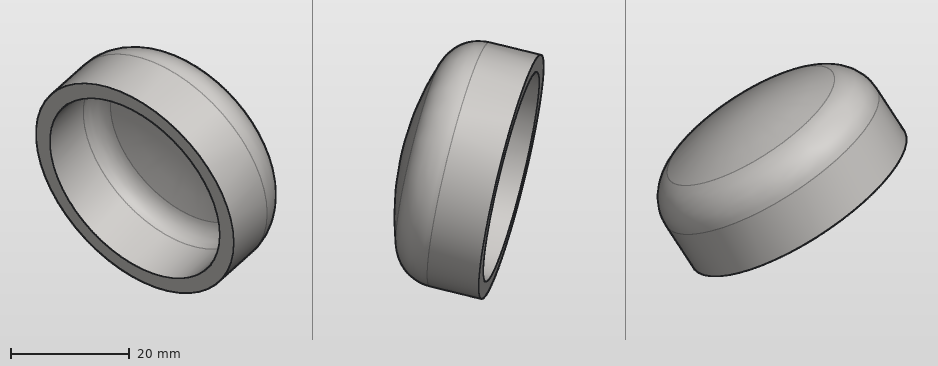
import cadquery as cq
import math

outer_radius = 21.2
cap_length = 18.75
wall = 3.0
skirt_length = 9.05
knuckle_radius = 7.2

knuckle_center_x = outer_radius - knuckle_radius
dome_height = cap_length - skirt_length

crown_radius = (dome_height**2 + knuckle_center_x**2 - knuckle_radius**2) / (
    2 * (dome_height - knuckle_radius)
)
crown_center_y = cap_length - crown_radius

crown_angle = math.asin(knuckle_center_x / (crown_radius - knuckle_radius))
knuckle_mid_angle = (crown_angle + math.pi / 2) / 2


def knuckle_point(angle, inset):
    """Point on the knuckle arc at an angle from the Y axis, moved inward by inset."""
    radius = knuckle_radius - inset
    return (knuckle_center_x + radius * math.sin(angle), skirt_length + radius * math.cos(angle))


def crown_point(angle, inset):
    """Point on the crown arc at an angle from the Y axis, moved inward by inset."""
    radius = crown_radius - inset
    return (radius * math.sin(angle), crown_center_y + radius * math.cos(angle))


def domed_solid(inset):
    """Solid bounded by the outer surface moved inward by inset, flat at the rim."""
    return (
        cq.Workplane("XY")
        .lineTo(outer_radius - inset, 0)
        .lineTo(outer_radius - inset, skirt_length)
        .threePointArc(knuckle_point(knuckle_mid_angle, inset), knuckle_point(crown_angle, inset))
        .threePointArc(crown_point(crown_angle / 2, inset), crown_point(0, inset))
        .close()
        .revolve(360, (0, 0, 0), (0, 1, 0))
    )


result = domed_solid(0).cut(domed_solid(wall))